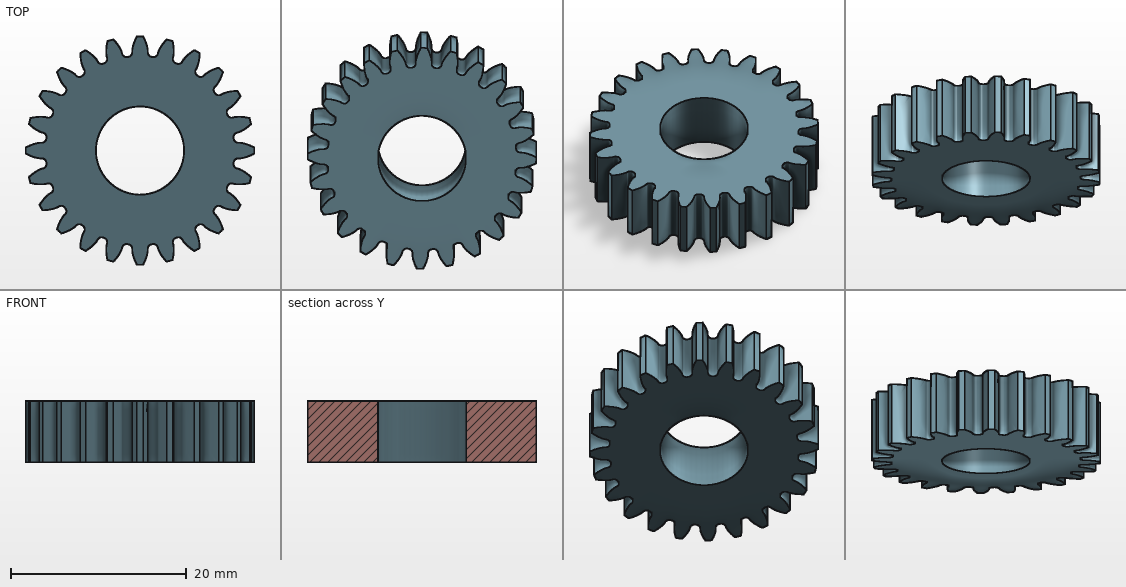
import cadquery as cq
import math

outer_diameter = 26.0
bore_diameter = 10.0
face_width = 7.0
tooth_count = 24
pressure_angle = math.radians(20)
addendum_factor = 1.0
dedendum_factor = 1.25
root_fillet_factor = 0.5

gear_module = outer_diameter / (tooth_count + 2 * addendum_factor)
pitch_radius = gear_module * tooth_count / 2
tip_radius = outer_diameter / 2
root_radius = pitch_radius - dedendum_factor * gear_module
base_radius = pitch_radius * math.cos(pressure_angle)
root_fillet = root_fillet_factor * gear_module
tooth_pitch = 2 * math.pi / tooth_count
flank_points = 7


def involute(angle):
    """Polar angle swept by an involute where its pressure angle is `angle`."""
    return math.tan(angle) - angle


base_half_angle = tooth_pitch / 4 + involute(pressure_angle)
tip_pressure_angle = math.acos(base_radius / tip_radius)


def polar(radius, angle):
    """XY point at a radius and polar angle about the gear axis."""
    return (radius * math.cos(angle), radius * math.sin(angle))


def flank(tooth_angle, side):
    """Involute points from the base circle to the tip; side is -1 or +1."""
    tip_roll_angle = math.tan(tip_pressure_angle)
    points = []
    for step in range(flank_points):
        roll_angle = tip_roll_angle * step / (flank_points - 1)
        radius = base_radius * math.hypot(1, roll_angle)
        half_angle = base_half_angle - involute(math.atan(roll_angle))
        points.append(polar(radius, tooth_angle + side * half_angle))
    return points


fillet_centre_radius = root_radius + root_fillet
fillet_half_angle = math.asin(root_fillet / fillet_centre_radius)
fillet_top_radius = fillet_centre_radius * math.cos(fillet_half_angle)


def fillet_points(tooth_angle, side):
    """Top, middle and bottom points of the fillet beside one flank; side is -1 or +1."""
    flank_angle = tooth_angle + side * base_half_angle
    centre_angle = flank_angle + side * fillet_half_angle
    centre_x, centre_y = polar(fillet_centre_radius, centre_angle)
    toward_flank = flank_angle - side * math.pi / 2
    toward_axis = centre_angle - side * math.pi
    offset_x, offset_y = polar(root_fillet, (toward_flank + toward_axis) / 2)
    return (
        polar(fillet_top_radius, flank_angle),
        (centre_x + offset_x, centre_y + offset_y),
        polar(root_radius, centre_angle),
    )


def gear_outline():
    """Closed outline, walked counter-clockwise tooth by tooth from the first fillet top."""
    first_top = fillet_points(0, -1)[0]
    outline = cq.Workplane("XY").moveTo(*first_top)
    for tooth in range(tooth_count):
        angle = tooth * tooth_pitch
        next_angle = angle + tooth_pitch
        rising = flank(angle, -1)
        falling = flank(angle, 1)[::-1]
        this_top, this_middle, this_bottom = fillet_points(angle, 1)
        next_top, next_middle, next_bottom = fillet_points(next_angle, -1)
        outline = (
            outline.lineTo(*rising[0])
            .spline(rising[1:], includeCurrent=True)
            .threePointArc(polar(tip_radius, angle), falling[0])
            .spline(falling[1:], includeCurrent=True)
            .lineTo(*this_top)
            .threePointArc(this_middle, this_bottom)
            .threePointArc(polar(root_radius, angle + tooth_pitch / 2), next_bottom)
            .threePointArc(next_middle, next_top)
        )
    return outline.close()


gear_blank = gear_outline().extrude(face_width)
bore = cq.Workplane("XY").circle(bore_diameter / 2).extrude(face_width)
result = gear_blank.cut(bore)